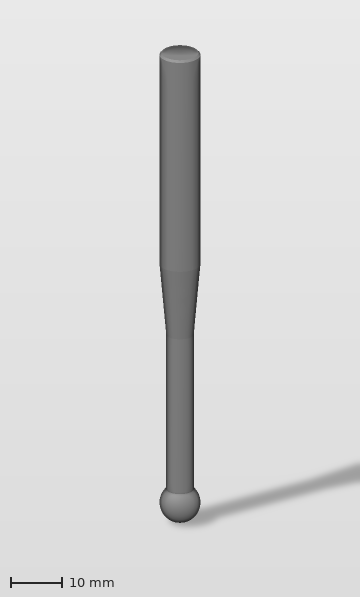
import cadquery as cq
import math

total_length = 100.0
shank_radius = 4.0
shank_length = 45.0
shank_chamfer = 0.4
taper_length = 15.0
neck_radius = 2.7
ball_radius = 4.0

shank_bottom = total_length - shank_length
taper_bottom = shank_bottom - taper_length
ball_center = ball_radius
neck_bottom = ball_center + math.sqrt(ball_radius**2 - neck_radius**2)


def turned_profile():
    """Half outline of the tool, radius along X and height along Z."""
    return (
        cq.Workplane("XZ")
        .moveTo(0, 0)
        .threePointArc((ball_radius, ball_center), (neck_radius, neck_bottom))
        .lineTo(neck_radius, taper_bottom)
        .lineTo(shank_radius, shank_bottom)
        .lineTo(shank_radius, total_length - shank_chamfer)
        .lineTo(shank_radius - shank_chamfer, total_length)
        .lineTo(0, total_length)
        .close()
    )


result = turned_profile().revolve(360, (0, 0, 0), (0, 1, 0))